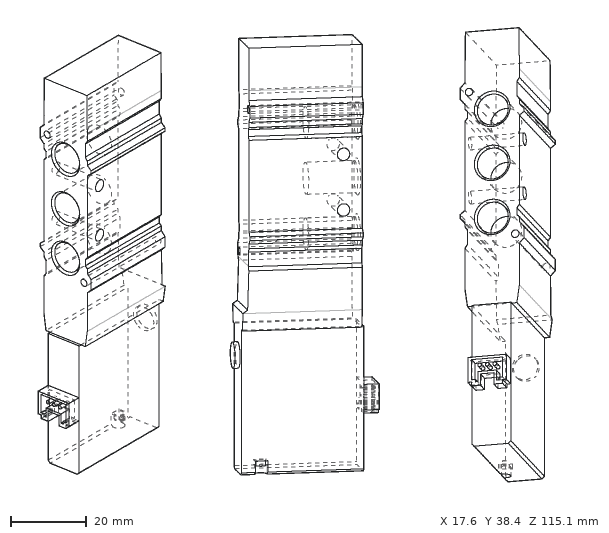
import cadquery as cq

BODY_TOP = 115.1
BODY_BOTTOM = 39.0
BODY_FRONT = -14.3
BODY_REAR = 16.2
HALF_WIDTH = 7.5
TOP_HALF_WIDTH = 7.4
TOP_TAPER_START = 103.7
FOOT_HALF_WIDTH = 6.8
FOOT_TAPER_START = 43.9
PORT_CENTER_Z = 78.3

OVERALL_WIDTH = 17.6
RIB_HALF_WIDTH = OVERALL_WIDTH / 2
GROOVE_HALF_WIDTH = 6.8
SIDE_STEPS = [
    (RIB_HALF_WIDTH, (101.1, 99.7, 96.6, 95.2)),
    (GROOVE_HALF_WIDTH, (93.8, 93.1, 91.3, 90.4)),
    (RIB_HALF_WIDTH, (65.7, 64.7, 63.7, 62.5)),
    (GROOVE_HALF_WIDTH, (61.2, 60.2, 56.3, 55.2)),
]

REAR_TAPER_START = 56.4
REAR_TAPER_END = 44.8
REAR_TAPER_Y = 16.6

PORT_PITCH = 15.0
PORT_DIAMETER = 8.5
PORT_MOUTH_DIAMETER = 9.8
PORT_DEPTH = 13.8
FIXING_DIAMETER = 2.1
FIXING_X = 6.3
FIXING_OFFSET_Z = 20.1
CROSS_DIAMETER = 3.3
CROSS_Y = -9.2

SOLENOID_WIDTH = 10.7
SOLENOID_HALF_WIDTH = SOLENOID_WIDTH / 2
SOLENOID_FRONT = -15.1
SOLENOID_REAR = 17.8
BOTTOM_CHAMFER = 0.7

BUTTON_DIAMETER = 7.0
BUTTON_Z = 31.4
BUTTON_REAR = 19.2

SOCKET_FRONT = -19.2
SOCKET_TOP = 23.4
SOCKET_BOTTOM = 15.4
SOCKET_HALF_WIDTH = 5.3
SOCKET_STEP_TOP = 16.5
TOP_WALL = 0.7
SIDE_WALL = 1.0
CAVITY_DEPTH = 3.5
CAVITY_BOTTOM = 16.5
CAVITY_STEP_TOP = 17.1
KEYWAY_HALF_WIDTH = 1.8
KEYWAY_TOP = 18.5
KEYWAY_WALL = 0.7
PIN_DIAMETER = 1.0
PIN_PITCH = 2.1
PIN_Z = 21.1
PIN_LENGTH = 3.3

RECESS_WIDTH = 3.3
RECESS_Y = 12.4
RECESS_TOP = 3.7
RECESS_STEP = 2.3
SCREW_DIAMETER = 2.5


def box(x0, x1, y0, y1, z0, z1):
    return cq.Workplane("XY").box(x1 - x0, y1 - y0, z1 - z0, centered=False).translate((x0, y0, z0))


def rod_along_y(diameter, x, z, y0, y1):
    return cq.Workplane("XZ", origin=(x, y0, z)).circle(diameter / 2).extrude(y0 - y1)


def extrude_outline(points, y0, y1):
    return cq.Workplane("XZ", origin=(0, y0, 0)).polyline(points).close().extrude(y0 - y1)


def valve_body():
    steps = []
    for reach, heights in SIDE_STEPS:
        flank_start, flat_start, flat_end, flank_end = heights
        steps += [(HALF_WIDTH, flank_start), (reach, flat_start), (reach, flat_end), (HALF_WIDTH, flank_end)]
    left_steps = [(-x, z) for x, z in steps]
    right_steps = [(x, 2 * PORT_CENTER_Z - z) for x, z in steps]
    upper_left = [(-TOP_HALF_WIDTH, BODY_TOP), (-HALF_WIDTH, TOP_TAPER_START)]
    lower_left = [(-HALF_WIDTH, FOOT_TAPER_START), (-FOOT_HALF_WIDTH, BODY_BOTTOM)]
    lower_right = [(-x, z) for x, z in reversed(lower_left)]
    upper_right = [(-x, z) for x, z in reversed(upper_left)]
    outline = upper_left + left_steps + lower_left + lower_right + right_steps + upper_right
    block = extrude_outline(outline, BODY_FRONT, SOLENOID_REAR)

    side = (
        cq.Workplane("YZ", origin=(-RIB_HALF_WIDTH, 0, 0))
        .moveTo(BODY_FRONT, BODY_TOP)
        .lineTo(BODY_REAR, BODY_TOP)
        .lineTo(BODY_REAR, REAR_TAPER_START)
        .lineTo(REAR_TAPER_Y, REAR_TAPER_END)
        .lineTo(SOLENOID_REAR, FOOT_TAPER_START)
        .lineTo(SOLENOID_REAR, BODY_BOTTOM)
        .lineTo(BODY_FRONT, BODY_BOTTOM)
        .close()
        .extrude(2 * RIB_HALF_WIDTH)
    )
    return block.intersect(side)


def ports():
    radius = PORT_DIAMETER / 2
    chamfer = (PORT_MOUTH_DIAMETER - PORT_DIAMETER) / 2
    port = (
        cq.Workplane("XY")
        .polyline([
            (0, BODY_FRONT),
            (radius + chamfer, BODY_FRONT),
            (radius, BODY_FRONT + chamfer),
            (radius, BODY_FRONT + PORT_DEPTH),
            (0, BODY_FRONT + PORT_DEPTH),
        ])
        .close()
        .revolve(360, (0, 0), (0, 1))
    )
    tools = cq.Workplane("XY")
    for row in (-1, 0, 1):
        tools = tools.add(port.translate((0, 0, PORT_CENTER_Z + row * PORT_PITCH)))
    return tools.combine()


def fixing_holes():
    tools = cq.Workplane("XY")
    for side in (-1, 1):
        z = PORT_CENTER_Z - side * FIXING_OFFSET_Z
        tools = tools.add(rod_along_y(FIXING_DIAMETER, side * FIXING_X, z, BODY_FRONT, SOLENOID_REAR))
    return tools.combine()


def cross_holes():
    return (
        cq.Workplane("YZ", origin=(-RIB_HALF_WIDTH, 0, 0))
        .pushPoints([(CROSS_Y, PORT_CENTER_Z + side * PORT_PITCH / 2) for side in (-1, 1)])
        .circle(CROSS_DIAMETER / 2)
        .extrude(2 * RIB_HALF_WIDTH)
    )


def solenoid():
    half = SOLENOID_HALF_WIDTH
    block = box(-half, half, SOLENOID_FRONT, SOLENOID_REAR, 0, BODY_BOTTOM)
    block = block.edges("|Y and <Z").chamfer(BOTTOM_CHAMFER)
    button = rod_along_y(BUTTON_DIAMETER, 0, BUTTON_Z, SOLENOID_REAR, BUTTON_REAR)
    return block.union(button)


def stepped_block(half_width, step_top, y0, y1, z0, z1):
    """Block whose two lower corners are stepped in by one side wall thickness."""
    foot = box(SIDE_WALL - half_width, half_width - SIDE_WALL, y0, y1, z0, z1)
    return foot.union(box(-half_width, half_width, y0, y1, step_top, z1))


def socket():
    cavity_floor = SOCKET_FRONT + CAVITY_DEPTH
    shell = stepped_block(
        SOCKET_HALF_WIDTH, SOCKET_STEP_TOP, SOCKET_FRONT, SOLENOID_FRONT, SOCKET_BOTTOM, SOCKET_TOP
    )
    cavity = stepped_block(
        SOCKET_HALF_WIDTH - SIDE_WALL,
        CAVITY_STEP_TOP,
        SOCKET_FRONT,
        cavity_floor,
        CAVITY_BOTTOM,
        SOCKET_TOP - TOP_WALL,
    )

    wall_half = KEYWAY_HALF_WIDTH + KEYWAY_WALL
    wall_top = KEYWAY_TOP + KEYWAY_WALL
    key_walls = box(-wall_half, wall_half, SOCKET_FRONT, cavity_floor, SOCKET_BOTTOM, wall_top)
    keyway = box(
        -KEYWAY_HALF_WIDTH, KEYWAY_HALF_WIDTH, SOCKET_FRONT, SOLENOID_FRONT, SOCKET_BOTTOM, KEYWAY_TOP
    )
    shell = shell.cut(cavity).union(key_walls).cut(keyway)

    for column in (-1, 0, 1):
        pin = rod_along_y(PIN_DIAMETER, column * PIN_PITCH, PIN_Z, cavity_floor - PIN_LENGTH, SOLENOID_FRONT)
        shell = shell.union(pin)
    return shell


def screw_recess():
    left = -SOLENOID_HALF_WIDTH
    radius = RECESS_WIDTH / 2
    axis_x = left + SCREW_DIAMETER / 2
    front = RECESS_Y - radius
    rear = RECESS_Y + radius
    lower = (
        cq.Workplane("XY")
        .moveTo(left, front)
        .lineTo(axis_x, front)
        .threePointArc((axis_x + radius, RECESS_Y), (axis_x, rear))
        .lineTo(left, rear)
        .close()
        .extrude(RECESS_STEP)
    )
    upper = box(left, axis_x + radius, front, rear, RECESS_STEP, RECESS_TOP)
    screw = (
        cq.Workplane("XY", origin=(axis_x, RECESS_Y, RECESS_STEP))
        .circle(SCREW_DIAMETER / 2)
        .extrude(RECESS_TOP - RECESS_STEP)
    )
    return lower.union(upper).cut(screw)


result = (
    valve_body()
    .cut(ports())
    .cut(fixing_holes())
    .cut(cross_holes())
    .union(solenoid())
    .union(socket())
    .cut(screw_recess())
)